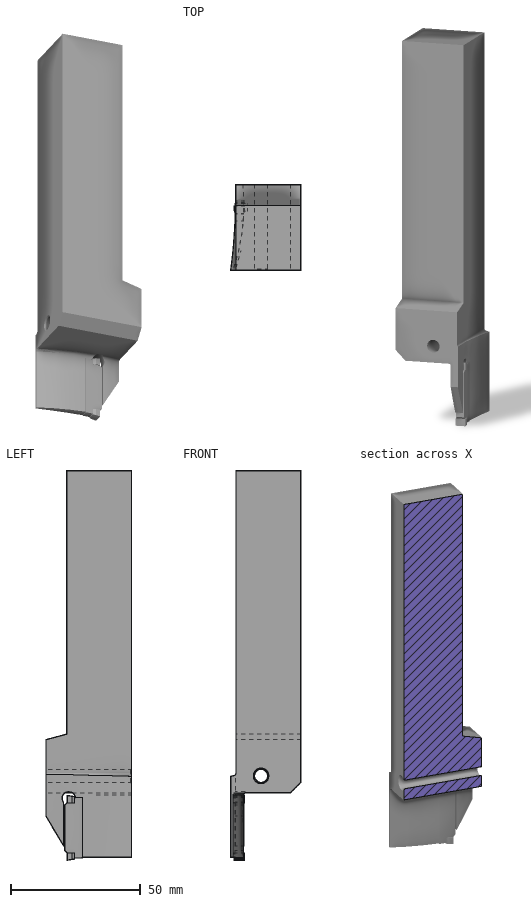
import cadquery as cq
import math


shank_size = 25.0
tool_top = 149.96
head_depth = 33.0
head_bottom = 26.0
head_shoulder_z = 48.6
head_shoulder_angle = 15.0
corner_chamfer = 4.0

blade_overhang = 2.08
blade_bottom = 1.1
blade_ledge_z = 32.6
ledge_fillet = 1.0
ledge_angle = 15.0
root_fillet = 0.8
outer_face_middle = (-0.64, 14.2)
outer_face_back_x = -0.25
inner_face_crest = (3.05, 25.0)
inner_face_radius = 77.0
nose_start_z = 17.0
nose_end_z = 5.5

screw_x = 9.65
screw_z = 32.5
screw_diameter = 5.0
screw_mouth_diameter = 6.0

insert_length = 25.0
insert_center_x = 1.3
insert_width = 3.2
insert_seat_y = 19.0
insert_ridge_y = 25.8
insert_end_setback = 0.85
rake_y = 24.85
rake_length = 2.9
rake_slope_length = 0.8
tip_width = 4.0
tip_side_y = 23.0
tip_root_y = 21.9
tip_relief = 0.45

jaw_y = 26.2
relief_hole_diameter = 5.0
relief_hole_y = 24.2
relief_hole_z = 23.9
pocket_min_x = -3.0
pocket_max_x = 4.5


def yz_prism(points, x_start, x_end):
    """Prism along X whose outline is given as (y, z) points."""
    return cq.Workplane("YZ", origin=(x_start, 0, 0)).polyline(points).close().extrude(x_end - x_start)


def make_shank():
    shoulder_drop = (head_depth - shank_size) * math.tan(math.radians(head_shoulder_angle))
    outline = [
        (0, head_bottom),
        (0, tool_top),
        (shank_size, tool_top),
        (shank_size, head_shoulder_z),
        (head_depth, head_shoulder_z - shoulder_drop),
        (head_depth, head_bottom),
    ]
    shank = yz_prism(outline, 0, shank_size)
    return shank.edges("|Y and >X and <Z").chamfer(corner_chamfer)


def inner_face_x(y):
    """X of the convex blade face, an arc about an axis parallel to Z."""
    crest_x, crest_y = inner_face_crest
    return crest_x - inner_face_radius + math.sqrt(inner_face_radius**2 - (y - crest_y) ** 2)


def outer_face_outline(bottom):
    """Start of a section at the given height: the concave blade face, from front to back."""
    return (
        cq.Workplane("XY", origin=(0, 0, bottom))
        .moveTo(-blade_overhang, 0)
        .threePointArc(outer_face_middle, (outer_face_back_x, head_depth))
    )


def make_blade():
    """Thin blade between two arcs, hanging below the head."""
    return (
        outer_face_outline(blade_bottom)
        .lineTo(inner_face_x(head_depth), head_depth)
        .threePointArc(inner_face_crest, (inner_face_x(0), 0))
        .close()
        .extrude(head_bottom - blade_bottom)
    )


def make_blade_backing():
    """Part of the head that carries the concave blade face out of the shank side.

    Its top is a ledge that slopes down outwards and joins the shank with a concave fillet.
    """
    reach = shank_size / 2
    ledge_top = blade_ledge_z + ledge_fillet
    ledge_drop = (reach - ledge_fillet) * math.tan(math.radians(ledge_angle))
    plan = (
        outer_face_outline(head_bottom)
        .lineTo(reach, head_depth)
        .lineTo(reach, 0)
        .close()
        .extrude(ledge_top - head_bottom)
    )
    profile = (
        cq.Workplane("XZ")
        .moveTo(reach, head_bottom)
        .lineTo(reach, ledge_top)
        .lineTo(0, ledge_top)
        .radiusArc((-ledge_fillet, blade_ledge_z), ledge_fillet)
        .lineTo(-reach, blade_ledge_z - ledge_drop)
        .lineTo(-reach, head_bottom)
        .close()
        .extrude(-head_depth)
    )
    return plan.intersect(profile)


def make_nose_cut():
    """Sloped front of the upper jaw, open down to where the insert stands free."""
    outline = [
        (head_depth, nose_start_z),
        (jaw_y, nose_end_z),
        (jaw_y, 0),
        (head_depth, 0),
    ]
    return yz_prism(outline, pocket_min_x, pocket_max_x)


def make_pocket():
    """Slot for the insert, with a round relief hole at its inner end."""
    slot_top = insert_length - insert_end_setback
    outline = [
        (insert_seat_y, 0),
        (insert_seat_y, slot_top),
        (jaw_y, slot_top),
        (jaw_y, 0),
    ]
    slot = yz_prism(outline, pocket_min_x, pocket_max_x)
    relief_hole = (
        cq.Workplane("YZ", origin=(pocket_min_x, 0, 0))
        .center(relief_hole_y, relief_hole_z)
        .circle(relief_hole_diameter / 2)
        .extrude(pocket_max_x - pocket_min_x)
    )
    return slot.union(relief_hole)


def make_screw_hole():
    """Through hole along Y with a 45 degree countersunk mouth on the front face."""
    mouth_depth = (screw_mouth_diameter - screw_diameter) / 2
    hole = (
        cq.Workplane("XZ")
        .center(screw_x, screw_z)
        .circle(screw_diameter / 2)
        .extrude(-head_depth)
    )
    mouth = cq.Solid.makeCone(
        screw_mouth_diameter / 2,
        screw_diameter / 2,
        mouth_depth,
        pnt=cq.Vector(screw_x, 0, screw_z),
        dir=cq.Vector(0, 1, 0),
    )
    return hole.union(cq.Workplane(mouth))


def make_holder():
    holder = make_shank().union(make_blade_backing()).union(make_blade())
    middle_y = head_depth / 2
    root_middle = (inner_face_x(middle_y), middle_y, head_bottom)
    root_edge = cq.selectors.NearestToPointSelector(root_middle)
    holder = holder.edges(root_edge).fillet(root_fillet)
    return holder.cut(make_nose_cut()).cut(make_pocket()).cut(make_screw_hole())


def make_tip():
    """Lower cutting end: full width at the rake face, tapering back to the insert body."""
    half_tip = tip_width / 2
    half_body = insert_width / 2
    plan = [
        (insert_center_x - half_tip, rake_y),
        (insert_center_x + half_tip, rake_y),
        (insert_center_x + half_tip, tip_side_y),
        (insert_center_x + half_body, tip_root_y),
        (insert_center_x - half_body, tip_root_y),
        (insert_center_x - half_tip, tip_side_y),
    ]
    side = [
        (rake_y, 0),
        (tip_root_y, tip_relief),
        (tip_root_y, rake_length),
        (rake_y, rake_length),
    ]
    block = cq.Workplane("XY").polyline(plan).close().extrude(rake_length)
    return block.intersect(yz_prism(side, insert_center_x - half_tip, insert_center_x + half_tip))


def make_insert():
    rake_end = rake_length + rake_slope_length
    outline = [
        (insert_seat_y, insert_end_setback),
        (rake_y, insert_end_setback),
        (rake_y, rake_length),
        (insert_ridge_y, rake_end),
        (insert_ridge_y, insert_length - rake_end),
        (rake_y, insert_length - rake_length),
        (rake_y, insert_length - insert_end_setback),
        (insert_seat_y, insert_length - insert_end_setback),
    ]
    start_x = insert_center_x - insert_width / 2
    body = yz_prism(outline, start_x, start_x + insert_width)
    lower_tip = make_tip()
    upper_tip = lower_tip.mirror("XY", (0, 0, insert_length / 2))
    return body.union(lower_tip).union(upper_tip)


holder = make_holder()
insert = make_insert()
result = cq.Compound.makeCompound([holder.val(), insert.val()])